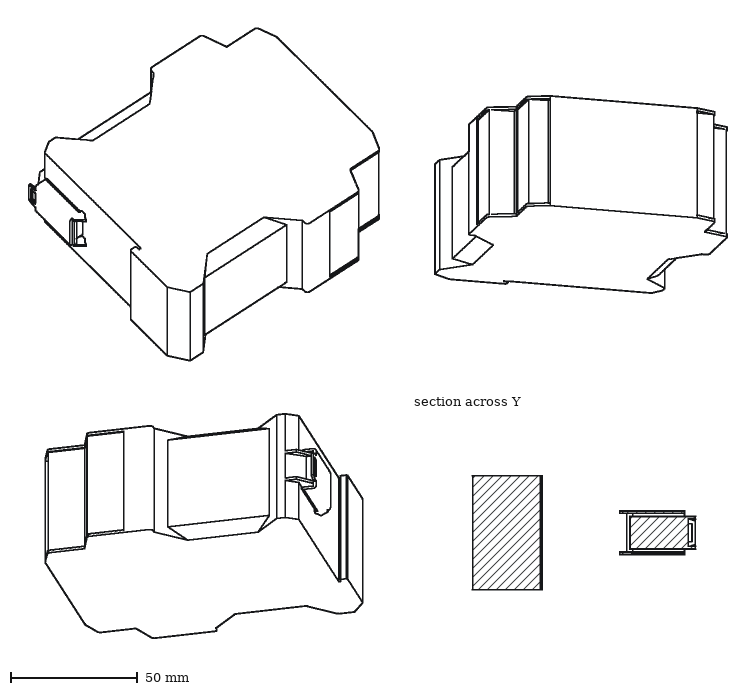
import cadquery as cq

width_x = 99.0
width_z = 45.1
half_z = width_z / 2
top_y = 113.6
base_y = 2.5
rail_floor_y = 6.5

upper_half_x = 38.7
upper_flat_half_x = 30.2
upper_shoulder_y = 110.3
lower_half_x = width_x / 2
tier_step_y = 95.2
lower_shoulder_y = 91.2
lower_tier_base_y = 64.6
lower_lip_x = 46.7
waist_half_x = 35.9
waist_base_y = 25.1
foot_half_x = 46.3
tier_corner_radius = 1.5

waist_top_y = lower_tier_base_y - (lower_lip_x - waist_half_x)
foot_top_y = waist_base_y - (foot_half_x - waist_half_x)

right_foot_x = 38.7
right_foot_y = 8.0
left_foot_x = -43.2
left_foot_y = 11.1
hook_tip_x = 15.3
hook_root_x = 17.3
hook_top_y = 5.3
hook_root_y = 5.7
hook_corner = 0.5

side_plate = 1.1
cover_inset = 0.7
cover_base_y = 76.3
cover_fall = 0.5
upper_ledge_y = 110.8
lower_ledge_y = 92.2

bulge_half_x = 42.3
bulge_half_z = 18.9

latch_left_x = -40.9
latch_right_x = -19.3
latch_half_z = 8.6
latch_wall = 1.0
latch_round = 1.2
latch_wall_top_y = 6.0
latch_bevel_y = 0.9
latch_bevel_z = 0.5
lip_right_x = -18.0
lip_top_y = 2.4

prong_base_x = -18.3
prong_tip_x = -15.2
prong_tip_y = 5.0
prong_shoulder_x = -17.0
prong_shoulder_y = 5.8
prong_top_x = -17.7
prong_root_x = -19.9

rib_outer_z = 6.5
rib_inner_z = 5.3
rib_end_y = 6.6
rib_base_y = 1.2

tab_left_x = -45.1
tab_taper_x = -42.4
tab_half_z = 5.6
tab_tip_half_z = 4.8
tab_thickness = 0.9
slot_left_x = -43.7
slot_right_x = -41.5
slot_half_z = 3.5
slot_bevel_depth = 0.5

core_nose_y = 4.8
foot_chamfer_run = (left_foot_x + foot_half_x) / (left_foot_y - rail_floor_y)
core_nose_x = left_foot_x + foot_chamfer_run * (rail_floor_y - core_nose_y)
core_step_x = -41.2
core_step_y = 4.0


def slab(points, half_depth):
    """Extrude an XY outline symmetrically about Z = 0."""
    return cq.Workplane("XY").polyline(points).close().extrude(half_depth, both=True)


def box(x0, x1, y0, y1, half_depth):
    """Block between X and Y limits, symmetric about Z = 0."""
    return slab([(x0, y0), (x1, y0), (x1, y1), (x0, y1)], half_depth)


def on_both_sides(right_side):
    """Join a right-hand feature with its mirror image across X = 0."""
    return right_side.union(right_side.mirror("YZ"))


def at_both_ends(points, inner_z, outer_z):
    """Two plates of one XY outline, between inner_z and outer_z on either side."""
    plate = cq.Workplane("XY").workplane(offset=inner_z).polyline(points).close().extrude(outer_z - inner_z)
    return plate.union(plate.mirror("XY"))


def housing():
    right = [
        (upper_flat_half_x, top_y),
        (upper_half_x, upper_shoulder_y),
        (upper_half_x, tier_step_y),
        (lower_half_x, lower_shoulder_y),
        (lower_half_x, lower_tier_base_y),
        (lower_lip_x, lower_tier_base_y),
        (waist_half_x, waist_top_y),
        (waist_half_x, waist_base_y),
        (foot_half_x, foot_top_y),
    ]
    underside = [
        (foot_half_x, right_foot_y),
        (right_foot_x, base_y),
        (hook_tip_x + hook_corner, base_y),
        (hook_tip_x, base_y + hook_corner),
        (hook_tip_x, hook_top_y),
        (hook_root_x, hook_root_y),
        (hook_root_x, rail_floor_y),
        (left_foot_x, rail_floor_y),
        (-foot_half_x, left_foot_y),
    ]
    left = [(-x, y) for x, y in reversed(right)]
    body = slab(right + underside + left, half_z)
    rounded = [
        (upper_half_x, upper_shoulder_y),
        (lower_half_x, lower_shoulder_y),
        (lower_half_x, lower_tier_base_y),
    ]
    for x, y in rounded:
        for corner_x in (-x, x):
            corner = cq.selectors.NearestToPointSelector((corner_x, y, 0))
            body = body.edges("|Z").edges(corner).fillet(tier_corner_radius)
    return body


def cover_pocket():
    """Space that the stepped, set-back terminal covers leave free between the side plates."""
    upper_x = upper_half_x - cover_inset
    lower_x = lower_half_x - cover_inset
    outside_x = lower_half_x + side_plate
    pocket = slab(
        [
            (upper_flat_half_x, top_y),
            (upper_flat_half_x, upper_ledge_y),
            (upper_x, upper_ledge_y - cover_fall),
            (upper_x, tier_step_y),
            (upper_half_x, tier_step_y),
            (upper_half_x, lower_ledge_y),
            (lower_x, lower_ledge_y - cover_fall),
            (lower_x, cover_base_y),
            (outside_x, cover_base_y),
            (outside_x, top_y),
        ],
        half_z - side_plate,
    )
    return on_both_sides(pocket)


def side_bulges():
    """Waist fillers with bevelled edges; their ends lie on the 45 degree slopes."""
    rise = bulge_half_x - waist_half_x
    plan = box(0, bulge_half_x, waist_base_y - rise, waist_top_y + rise, half_z)
    section = (
        cq.Workplane("XZ")
        .polyline(
            [
                (0, -half_z),
                (waist_half_x, -half_z),
                (bulge_half_x, -bulge_half_z),
                (bulge_half_x, bulge_half_z),
                (waist_half_x, half_z),
                (0, half_z),
            ]
        )
        .close()
        .extrude(-top_y)
    )
    return on_both_sides(plan.intersect(section))


def latch_channel():
    """U-shaped slide, open toward the housing, with rounded lower edges."""
    channel = box(latch_left_x, latch_right_x, 0, latch_wall_top_y, latch_half_z)
    channel = channel.edges("|X and <Y").fillet(latch_round)
    bevel_start_y = latch_wall_top_y - latch_bevel_y
    bevel = (
        cq.Workplane("YZ")
        .workplane(offset=latch_left_x)
        .polyline(
            [
                (bevel_start_y, latch_half_z),
                (latch_wall_top_y, latch_half_z),
                (latch_wall_top_y, latch_half_z - latch_bevel_z),
            ]
        )
        .close()
        .extrude(latch_right_x - latch_left_x)
    )
    channel = channel.cut(bevel).cut(bevel.mirror("XY"))
    inside = box(latch_left_x, latch_right_x, rib_base_y, latch_wall_top_y, latch_half_z - latch_wall)
    lip = box(latch_right_x - latch_wall, lip_right_x, rib_base_y, lip_top_y, latch_half_z - latch_wall)
    return channel.cut(inside).union(lip)


def latch_prongs():
    """Pointed ends of the channel walls that catch the rail."""
    outline = [
        (prong_root_x, rib_base_y),
        (prong_base_x, rib_base_y),
        (prong_tip_x, prong_tip_y),
        (prong_shoulder_x, prong_shoulder_y),
        (prong_top_x, rail_floor_y),
        (prong_root_x, rail_floor_y),
    ]
    return at_both_ends(outline, latch_half_z - latch_wall, latch_half_z)


def latch_core():
    """Solid middle of the latch that carries the channel from the housing."""
    return slab(
        [
            (left_foot_x, rail_floor_y),
            (core_nose_x, core_nose_y),
            (core_step_x, core_step_y),
            (core_step_x, rib_base_y / 2),
            (latch_right_x, rib_base_y / 2),
            (latch_right_x, rail_floor_y),
        ],
        rib_inner_z,
    )


def latch_ribs():
    outline = [
        (-foot_half_x, left_foot_y),
        (-foot_half_x, rib_end_y),
        (latch_left_x, rib_base_y),
        (latch_right_x, rib_base_y),
        (latch_right_x, rail_floor_y),
        (left_foot_x, rail_floor_y),
    ]
    return at_both_ends(outline, rib_inner_z, rib_outer_z)


def release_tab():
    """Tapered, slotted tab for pulling the latch with a screwdriver."""
    tab = (
        cq.Workplane("XZ")
        .polyline(
            [
                (latch_left_x, -tab_half_z),
                (tab_taper_x, -tab_half_z),
                (tab_left_x, -tab_tip_half_z),
                (tab_left_x, tab_tip_half_z),
                (tab_taper_x, tab_half_z),
                (latch_left_x, tab_half_z),
            ]
        )
        .close()
        .extrude(-tab_thickness)
    )
    slot = slab(
        [
            (slot_left_x, 0),
            (latch_left_x, 0),
            (slot_right_x, slot_bevel_depth),
            (slot_right_x, tab_thickness),
            (slot_left_x, tab_thickness),
        ],
        slot_half_z,
    )
    return tab.cut(slot)


result = housing().cut(cover_pocket()).union(side_bulges())
for latch_part in (latch_core(), latch_ribs(), latch_channel(), latch_prongs(), release_tab()):
    result = result.union(latch_part)